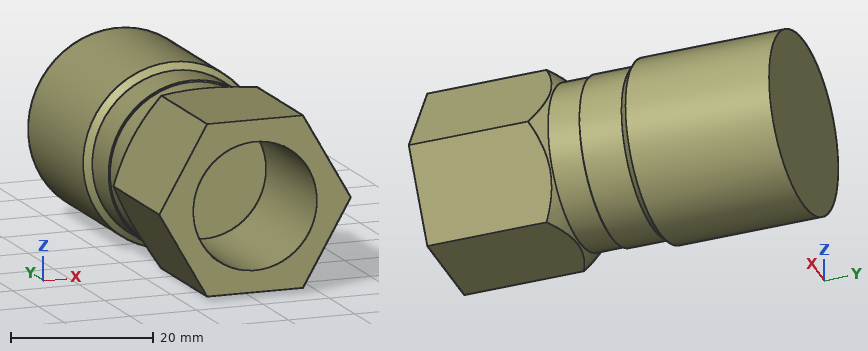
import cadquery as cq
import math

hex_across_flats = 25.0
hex_across_corners = hex_across_flats / math.cos(math.radians(30))
hex_edge_length = 18.0
hex_chamfer_angle = 45.0

neck_diameter = 24.5
neck_end = 25.0
collar_diameter = 25.0
collar_end = 31.35
sleeve_diameter = 27.0
shoulder_length = 1.0
total_length = 54.0

cone_drop = (hex_across_corners - neck_diameter) / 2
hex_length = hex_edge_length + cone_drop / math.tan(math.radians(hex_chamfer_angle))

bore_diameter = 18.63
bore_depth = 20.0


def revolve_about_y(points):
    """Revolve a closed (radius, y) outline once around the Y axis."""
    return cq.Workplane("XY").polyline(points).close().revolve(360, (0, 0, 0), (0, 1, 0))


def cylinder_along_y(diameter, length):
    """Round bar from Y = 0 to Y = length."""
    return cq.Workplane("XZ").circle(diameter / 2).extrude(-length)


def make_hexagon():
    """Hexagon with corners on the X axis, its inner end turned to a cone."""
    hexagon = cq.Workplane("XZ").polygon(6, hex_across_corners).extrude(-hex_length)
    corner_radius = hex_across_corners / 2
    cone_radius = neck_diameter / 2
    turned_envelope = revolve_about_y([
        (0, 0),
        (corner_radius, 0),
        (corner_radius, hex_edge_length),
        (cone_radius, hex_length),
        (0, hex_length),
    ])
    return hexagon.intersect(turned_envelope)


def make_round_body():
    """Neck, collar, conical shoulder and sleeve as one turned profile."""
    neck_radius = neck_diameter / 2
    collar_radius = collar_diameter / 2
    sleeve_radius = sleeve_diameter / 2
    return revolve_about_y([
        (0, hex_length),
        (neck_radius, hex_length),
        (neck_radius, neck_end),
        (collar_radius, neck_end),
        (collar_radius, collar_end),
        (sleeve_radius, collar_end + shoulder_length),
        (sleeve_radius, total_length),
        (0, total_length),
    ])


bore = cylinder_along_y(bore_diameter, bore_depth)
result = make_hexagon().union(make_round_body()).cut(bore)